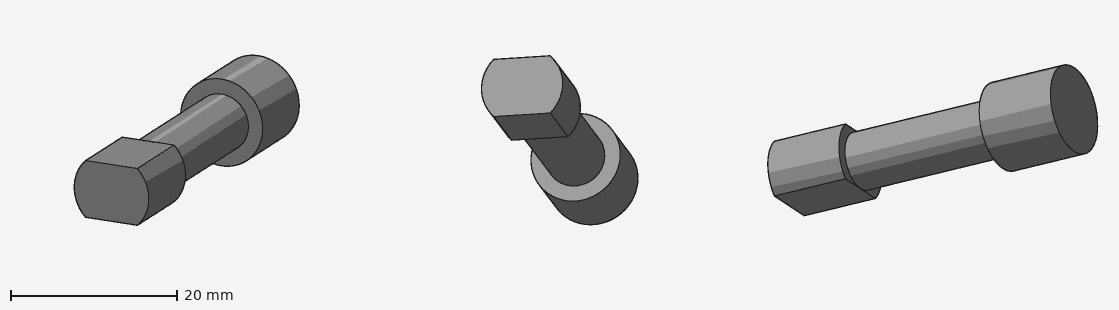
import cadquery as cq

total_length = 40.0
head_diameter = 11.0
head_length = 10.0
shank_diameter = 7.2
tip_diameter = 10.0
tip_length = 10.0
tip_thickness = shank_diameter

shank_length = total_length - head_length - tip_length
tip_start = -total_length / 2
shank_start = tip_start + tip_length
head_start = shank_start + shank_length


def cylinder_along_y(diameter, length, start):
    """Cylinder on the Y axis, running from start towards +Y."""
    return cq.Workplane(
        cq.Solid.makeCylinder(diameter / 2, length, cq.Vector(0, start, 0), cq.Vector(0, 1, 0))
    )


def flatted_tip():
    """Round tip with two parallel flats facing +Z and -Z."""
    round_tip = cylinder_along_y(tip_diameter, tip_length, tip_start)
    slab = cq.Workplane("XY").box(tip_diameter, tip_length, tip_thickness)
    slab = slab.translate((0, tip_start + tip_length / 2, 0))
    return round_tip.intersect(slab)


head = cylinder_along_y(head_diameter, head_length, head_start)
shank = cylinder_along_y(shank_diameter, shank_length, shank_start)

result = head.union(shank).union(flatted_tip())